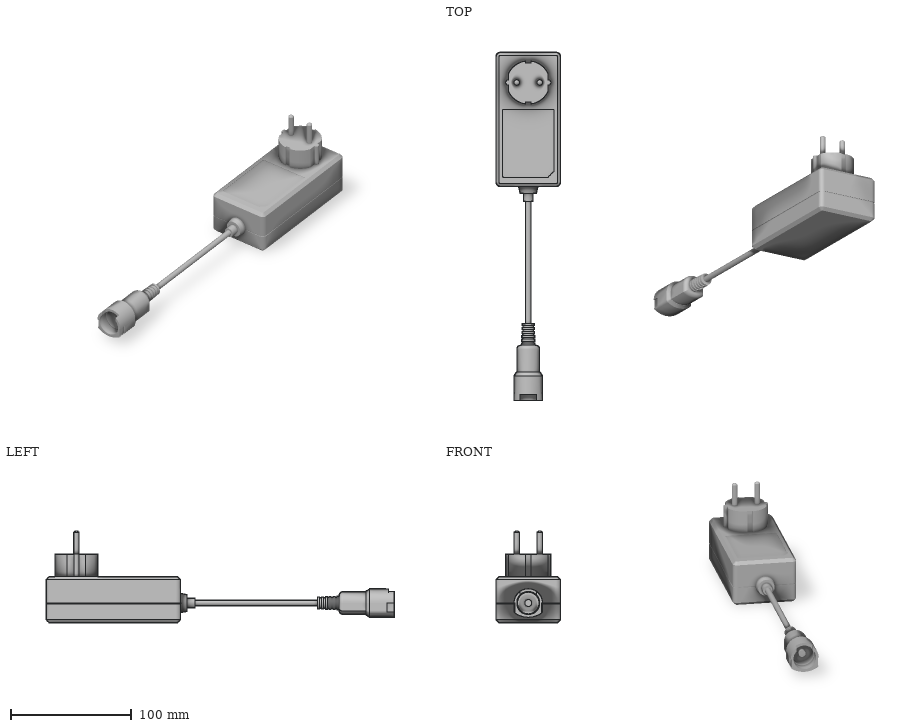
import cadquery as cq
import math


overall_length = 288.2

housing_width = 53.5
housing_length = 111.2
housing_bottom = -16.5
housing_height = 38.3
housing_top = housing_bottom + housing_height
corner_radius = 3.7
rim_chamfer = 2.5
parting_z = -0.3
parting_height = 1.0
parting_depth = 0.43

label_width = 43.0
label_back = housing_length - 47.3
label_front = housing_length - 103.5
label_corner = 1.2
label_cut_corner = 5.2
label_depth = 0.3

plug_y = housing_length - 25.0
plug_height = 18.5
plug_radius = 18.0
plug_half_width = 16.0
plug_tab_reach = 18.7
plug_tab_width = 4.3
plug_slot_width = 4.3
plug_slot_depth = 1.7
pin_height = 19.3
pin_radius = 2.3
pin_spacing = 19.0
pin_dome_height = 1.5

cable_radius = 2.45
grommet_base_radius = 8.0
grommet_tip_radius = 7.0
grommet_length = 5.5
sleeve_radius = 4.0
sleeve_length = 6.5

connector_end = overall_length - housing_length
head_length = 23.5
barrel_length = 22.2
relief_length = 18.0
head_start = connector_end - head_length
barrel_start = head_start - barrel_length
relief_start = barrel_start - relief_length

head_radius = 11.8
barrel_radius = 9.5
belly_centre = 7.5
head_corner_rounding = 2.5
shoulder_length = 3.2
shoulder_step = 2.0
barrel_rounding = 3.5
ring_count = 6
ring_width = 1.7
ring_depth = 0.72
relief_thin_radius = 4.3
relief_thick_radius = 5.0

socket_radius = 9.0
socket_depth = 17.3
mouth_radius = 9.5
mouth_depth = 8.6
contact_radius = 3.0
contact_length = 5.8
notch_width = 13.8
notch_length = 5.0
grip_length = 6.3
grip_height = 7.5
grip_depth = 1.0


def section_at(distance):
    """Plane across the cable at a distance in front of the housing, facing -Y."""
    return cq.Workplane("XZ", origin=(0, -distance, 0))


def rod(start, length, radius):
    return section_at(start).circle(radius).extrude(length)


def cone(start, length, start_radius, end_radius):
    return cq.Workplane(
        cq.Solid.makeCone(start_radius, end_radius, length, cq.Vector(0, -start, 0), cq.Vector(0, -1, 0))
    )


def block(width, height, start, end, centre_z):
    """Box across the cable axis between two distances from the housing."""
    return section_at(start).center(0, centre_z).rect(width, height).extrude(end - start)


def rounded_plate(width, length, height, radius, bottom):
    centre = (0, housing_length / 2, bottom)
    plate = cq.Workplane("XY", origin=centre).rect(width, length).extrude(height)
    return plate.edges("|Z").fillet(radius)


def make_housing():
    body = rounded_plate(housing_width, housing_length, housing_height, corner_radius, housing_bottom)
    body = body.faces("<Z or >Z").chamfer(rim_chamfer)
    inset = 2 * parting_depth
    band_bottom = parting_z - parting_height / 2
    band = rounded_plate(housing_width, housing_length, parting_height, corner_radius, band_bottom)
    core_width = housing_width - inset
    core_length = housing_length - inset
    core_radius = corner_radius - parting_depth
    core = rounded_plate(core_width, core_length, parting_height, core_radius, band_bottom)
    return body.cut(band.cut(core)).cut(make_label())


def make_label():
    """Label area with three rounded corners and one cut corner at the front right."""
    length = label_back - label_front
    centre = (0, (label_back + label_front) / 2, housing_top - label_depth)
    label = cq.Workplane("XY", origin=centre).rect(label_width, length).extrude(label_depth)
    label = label.edges("|Z and >X and <Y").chamfer(label_cut_corner)
    return label.edges("|Z and (<X or >Y)").fillet(label_corner)


def make_plug():
    base = cq.Workplane("XY", origin=(0, plug_y, housing_top))
    plug = base.circle(plug_radius).extrude(plug_height)
    plug = plug.intersect(base.rect(2 * plug_half_width, 2 * plug_radius).extrude(plug_height))
    plug = plug.union(base.slot2D(2 * plug_tab_reach, plug_tab_width).extrude(plug_height))
    slot_centres = [(0, plug_radius), (0, -plug_radius)]
    slots = base.pushPoints(slot_centres).rect(plug_slot_width, 2 * plug_slot_depth).extrude(plug_height)
    plug = plug.cut(slots)
    for side in (-1, 1):
        plug = plug.union(make_pin().translate((side * pin_spacing / 2, plug_y, housing_top + plug_height)))
    return plug


def make_pin():
    """Round pin with a domed tip, standing on the origin."""
    dome_radius = (pin_radius**2 + pin_dome_height**2) / (2 * pin_dome_height)
    outline = (
        cq.Workplane("XZ")
        .lineTo(pin_radius, 0)
        .lineTo(pin_radius, pin_height - pin_dome_height)
        .radiusArc((0, pin_height), -dome_radius)
        .close()
    )
    return outline.revolve(360, (0, 0, 0), (0, 1, 0))


def make_cable():
    cable = rod(0, barrel_start, cable_radius)
    grommet = cone(0, grommet_length, grommet_base_radius, grommet_tip_radius)
    sleeve = rod(grommet_length, sleeve_length, sleeve_radius)
    return cable.union(grommet).union(sleeve)


def make_strain_relief():
    """Tapered core with evenly spaced rings that grow with it."""
    relief = cone(relief_start, relief_length, relief_thin_radius, relief_thick_radius)
    pitch = (relief_length - ring_width) / (ring_count - 1)
    growth = (relief_thick_radius - relief_thin_radius) / (ring_count - 1)
    for index in range(ring_count):
        ring_radius = relief_thin_radius + ring_depth + index * growth
        relief = relief.union(rod(relief_start + index * pitch, ring_width, ring_radius))
    return relief


def connector_outline(distance, radius):
    """Half-round top, upright sides and a flatter round belly."""
    belly_radius = radius + belly_centre
    side_bottom = belly_centre - math.sqrt(belly_radius**2 - radius**2)
    return (
        section_at(distance)
        .moveTo(-radius, 0)
        .threePointArc((0, radius), (radius, 0))
        .lineTo(radius, side_bottom)
        .threePointArc((0, -radius), (-radius, side_bottom))
        .close()
    )


def make_connector():
    barrel = connector_outline(barrel_start, barrel_radius).extrude(barrel_length)
    barrel = barrel.faces(">Y").edges().fillet(barrel_rounding)
    head = connector_outline(head_start + shoulder_length, head_radius).extrude(head_length - shoulder_length)
    head = head.edges("|Y").edges("<Z").fillet(head_corner_rounding)
    taper = math.degrees(math.atan(shoulder_step / shoulder_length))
    head_rim = head.faces(">Y").wires().toPending().workplane()
    shoulder = head_rim.extrude(shoulder_length, taper=taper, combine=False)
    return barrel.union(shoulder).union(head).cut(make_socket())


def make_socket():
    """Stepped round socket with a notch in the top wall, a centre contact and shallow side grips."""
    floor = connector_end - socket_depth
    contact = rod(floor, contact_length, contact_radius)
    socket = rod(floor, socket_depth, socket_radius).cut(contact)
    socket = socket.union(rod(connector_end - mouth_depth, mouth_depth, mouth_radius))
    notch = block(notch_width, head_radius, connector_end - notch_length, connector_end, head_radius / 2)
    socket = socket.union(notch)
    for side in (-1, 1):
        grip = block(2 * grip_depth, grip_height, connector_end - grip_length, connector_end, -grip_height / 2)
        socket = socket.union(grip.translate((side * head_radius, 0, 0)))
    return socket


result = make_housing().union(make_plug()).union(make_cable())
result = result.union(make_strain_relief()).union(make_connector())